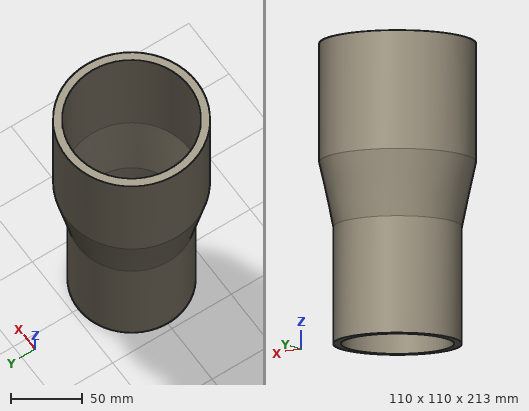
import cadquery as cq

total_height = 213.0
upper_outer_diameter = 110.0
lower_outer_diameter = 90.0
upper_bore_diameter = 97.1
lower_bore_diameter = 79.2
lower_height = 83.0
taper_height = 46.0

taper_top = lower_height + taper_height


def stepped_solid(lower_diameter, upper_diameter):
    """Lower cylinder, conical transition and upper cylinder about Z."""
    lower_radius = lower_diameter / 2
    upper_radius = upper_diameter / 2
    return (
        cq.Workplane("XZ")
        .lineTo(lower_radius, 0)
        .lineTo(lower_radius, lower_height)
        .lineTo(upper_radius, taper_top)
        .lineTo(upper_radius, total_height)
        .lineTo(0, total_height)
        .close()
        .revolve(360, (0, 0), (0, 1))
    )


outer_body = stepped_solid(lower_outer_diameter, upper_outer_diameter)
bore = stepped_solid(lower_bore_diameter, upper_bore_diameter)

result = outer_body.cut(bore)